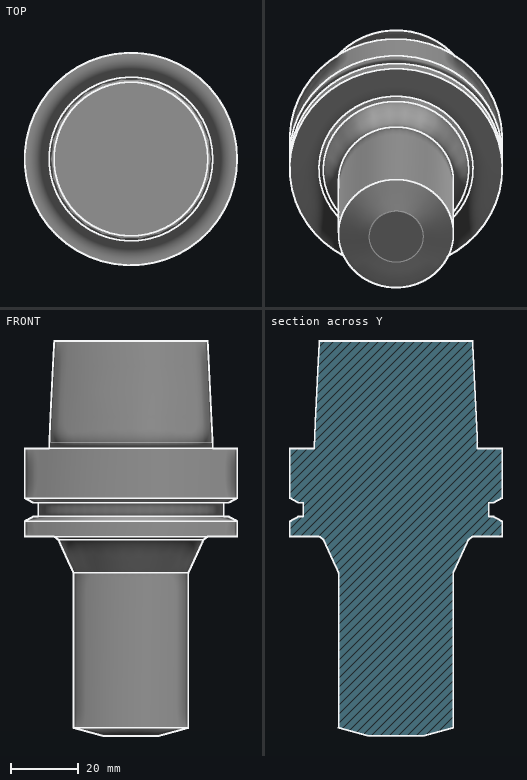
import cadquery as cq

flange_diameter = 63.0
groove_diameter = 55.0
groove_lip_diameter = 57.8
collar_diameter = 48.4
head_top_diameter = 45.5
neck_top_diameter = 45.6
neck_shoulder_diameter = 43.0
shank_diameter = 34.0
tip_diameter = 16.0

shank_bottom_z = 2.5
shank_top_z = 48.3
neck_shoulder_z = 58.1
flange_bottom_z = 59.1
groove_bottom_z = 65.0
groove_top_z = 69.0
groove_chamfer_height = 1.4
flange_top_z = 85.2
collar_top_z = 86.9
total_height = 117.0

flange_radius = flange_diameter / 2
groove_radius = groove_diameter / 2
groove_lip_radius = groove_lip_diameter / 2
collar_radius = collar_diameter / 2
head_top_radius = head_top_diameter / 2
shank_radius = shank_diameter / 2
neck_shoulder_radius = neck_shoulder_diameter / 2


profile = (
    cq.Workplane("XZ")
    .lineTo(tip_diameter / 2, 0)
    .lineTo(shank_radius, shank_bottom_z)
    .lineTo(shank_radius, shank_top_z)
    .lineTo(neck_shoulder_radius, neck_shoulder_z)
    .lineTo(neck_top_diameter / 2, flange_bottom_z)
    .lineTo(flange_radius, flange_bottom_z)
    .lineTo(flange_radius, groove_bottom_z - groove_chamfer_height)
    .lineTo(groove_lip_radius, groove_bottom_z)
    .lineTo(groove_radius, groove_bottom_z)
    .lineTo(groove_radius, groove_top_z)
    .lineTo(groove_lip_radius, groove_top_z)
    .lineTo(flange_radius, groove_top_z + groove_chamfer_height)
    .lineTo(flange_radius, flange_top_z)
    .lineTo(collar_radius, flange_top_z)
    .lineTo(collar_radius, collar_top_z)
    .lineTo(head_top_radius, total_height)
    .lineTo(0, total_height)
    .close()
)

result = profile.revolve(360, (0, 0, 0), (0, 1, 0))